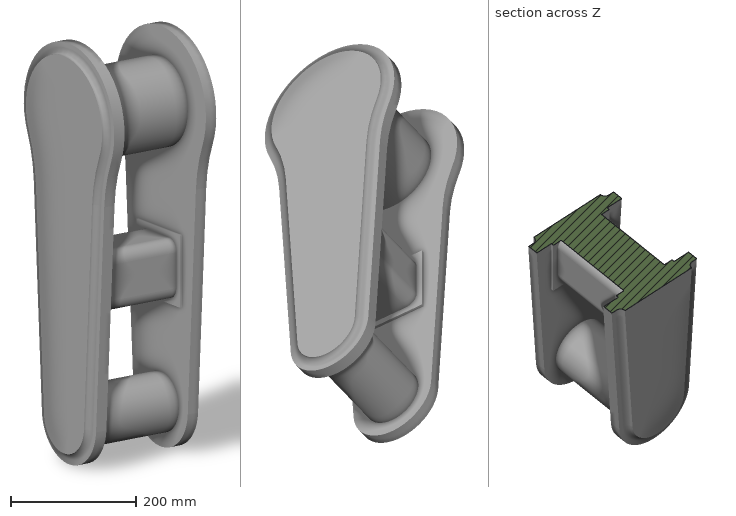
import cadquery as cq
import math

TOTAL_HEIGHT = 700
HEAD_RADIUS = 250.0 / 2
FOOT_RADIUS = 150.0 / 2
CENTRE_DISTANCE = TOTAL_HEIGHT - HEAD_RADIUS - FOOT_RADIUS
NECK_RADIUS = 234.5
FLANK_ANGLE = math.radians(3.4)

TOTAL_WIDTH = 220.0
PLATE_THICKNESS = 20.0
PANEL_HEIGHT = 10.0
PANEL_MARGIN = 10.0
PLATE_OUTER_Y = TOTAL_WIDTH / 2 - PANEL_HEIGHT
PLATE_INNER_Y = PLATE_OUTER_Y - PLATE_THICKNESS

HEAD_TUBE_DIAMETER = 150.0
FOOT_TUBE_DIAMETER = 100.0
BAR_SIZE = 100.0
BAR_CORNER_RADIUS = 20.0
BAR_DROP = 269.5
PAD_SIZE = 120.5
PAD_THICKNESS = 5.0


def outline(inset, y):
    """Plate outline moved inward by inset; flanks and neck arcs stay tangent."""
    head = HEAD_RADIUS - inset
    foot = FOOT_RADIUS - inset
    neck = NECK_RADIUS + inset
    normal_x = math.cos(FLANK_ANGLE)
    normal_z = -math.sin(FLANK_ANGLE)

    across = CENTRE_DISTANCE * math.sin(FLANK_ANGLE) + foot + neck
    along = math.sqrt((head + neck) ** 2 - across**2)
    neck_x = across * normal_x + along * normal_z
    neck_z = across * normal_z - along * normal_x

    share = head / (head + neck)
    head_x, head_z = neck_x * share, neck_z * share
    flank_x, flank_z = neck_x - neck * normal_x, neck_z - neck * normal_z
    foot_x, foot_z = foot * normal_x, foot * normal_z - CENTRE_DISTANCE

    bisector_x = head_x + flank_x - 2 * neck_x
    bisector_z = head_z + flank_z - 2 * neck_z
    bisector_length = math.hypot(bisector_x, bisector_z)
    middle_x = neck_x + neck * bisector_x / bisector_length
    middle_z = neck_z + neck * bisector_z / bisector_length

    return (
        cq.Workplane("XZ", origin=(0, y, 0))
        .moveTo(foot_x, foot_z)
        .lineTo(flank_x, flank_z)
        .threePointArc((middle_x, middle_z), (head_x, head_z))
        .threePointArc((0, head), (-head_x, head_z))
        .threePointArc((-middle_x, middle_z), (-flank_x, flank_z))
        .lineTo(-foot_x, foot_z)
        .threePointArc((0, -CENTRE_DISTANCE - foot), (foot_x, foot_z))
        .close()
    )


def front_plate():
    """Plate on the -Y side with a raised panel edged by a concave cove."""
    plate = outline(0, -PLATE_INNER_Y).extrude(PLATE_THICKNESS)
    panel = outline(PANEL_MARGIN, -PLATE_OUTER_Y).extrude(PANEL_HEIGHT)
    path = outline(PANEL_MARGIN, -TOTAL_WIDTH / 2)
    start = path.val().startPoint()
    direction = path.val().tangentAt(0)
    section = cq.Plane(origin=start.toTuple(), xDir=(0, 1, 0), normal=direction.toTuple())
    cove = cq.Workplane(section).circle(PANEL_HEIGHT).sweep(path)
    return plate.union(panel.cut(cove))


def tube(diameter, z):
    return (
        cq.Workplane("XZ", origin=(0, PLATE_INNER_Y, z))
        .circle(diameter / 2)
        .extrude(2 * PLATE_INNER_Y)
    )


def square_bar():
    """Rounded square bar with a thin square pad against each plate."""
    length = 2 * PLATE_INNER_Y
    bar = cq.Workplane("XY").box(BAR_SIZE, length, BAR_SIZE).edges("|Y").fillet(BAR_CORNER_RADIUS)
    pad_y = PLATE_INNER_Y - PAD_THICKNESS / 2
    for y in (-pad_y, pad_y):
        pad = cq.Workplane("XY").box(PAD_SIZE, PAD_THICKNESS, PAD_SIZE)
        bar = bar.union(pad.translate((0, y, 0)))
    return bar.translate((0, 0, -BAR_DROP))


plate = front_plate()
result = (
    plate.union(plate.mirror("XZ"))
    .union(tube(HEAD_TUBE_DIAMETER, 0))
    .union(tube(FOOT_TUBE_DIAMETER, -CENTRE_DISTANCE))
    .union(square_bar())
)